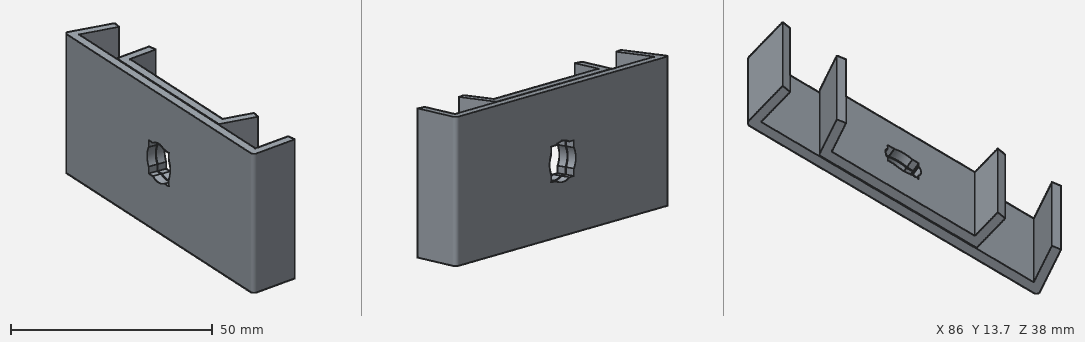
import cadquery as cq
import math

height = 38.0
overall_width = 86.04
overall_depth = 13.67

sheet = 2.5
leg_lean = math.radians(8.5)
outer_corner_radius = 1.0
inner_corner_radius = 0.5

web_gap = 0.2
inner_web_width = 46.6

opening_square = 9.1
opening_diameter = 10.55


def channel(half_width, bottom, lean, corner_radius):
    """Channel extruded along Z: a web and two leaning legs whose ends are square to their faces.

    half_width is measured to the sharp outer corner, and a positive lean tilts the legs outward.
    """
    sine = math.sin(lean)
    cosine = math.cos(lean)
    outer_tip_y = overall_depth - sheet * max(sine, 0)
    inner_tip_y = outer_tip_y + sheet * sine
    outer_tip_x = half_width + (outer_tip_y - bottom) * math.tan(lean)
    inner_tip_x = outer_tip_x - sheet * cosine
    inner_corner_y = bottom + sheet
    inner_corner_x = inner_tip_x - (inner_tip_y - inner_corner_y) * math.tan(lean)

    right_side = [
        (half_width, bottom),
        (outer_tip_x, outer_tip_y),
        (inner_tip_x, inner_tip_y),
        (inner_corner_x, inner_corner_y),
    ]
    left_side = [(-x, y) for x, y in reversed(right_side)]
    body = cq.Workplane("XY").polyline(right_side + left_side).close().extrude(height)

    return body.faces("<Y").edges("|Z").fillet(corner_radius)


def opening():
    """Cutter for the opening, running along Y through both webs."""
    plane = cq.Workplane("XZ", origin=(0, 0, height / 2))
    square = plane.rect(opening_square, opening_square).extrude(-overall_depth)
    circle = plane.circle(opening_diameter / 2).extrude(-overall_depth)
    return square.union(circle)


leg_angle = math.pi / 2 - leg_lean
corner_setback = outer_corner_radius / math.tan(leg_angle / 2) - outer_corner_radius

outer_half_width = overall_width / 2 + corner_setback
outer_channel = channel(outer_half_width, 0, -leg_lean, outer_corner_radius).cut(opening())

inner_bottom = sheet + web_gap
inner_channel = channel(inner_web_width / 2, inner_bottom, leg_lean, inner_corner_radius).cut(opening())

result = cq.Compound.makeCompound([outer_channel.val(), inner_channel.val()])